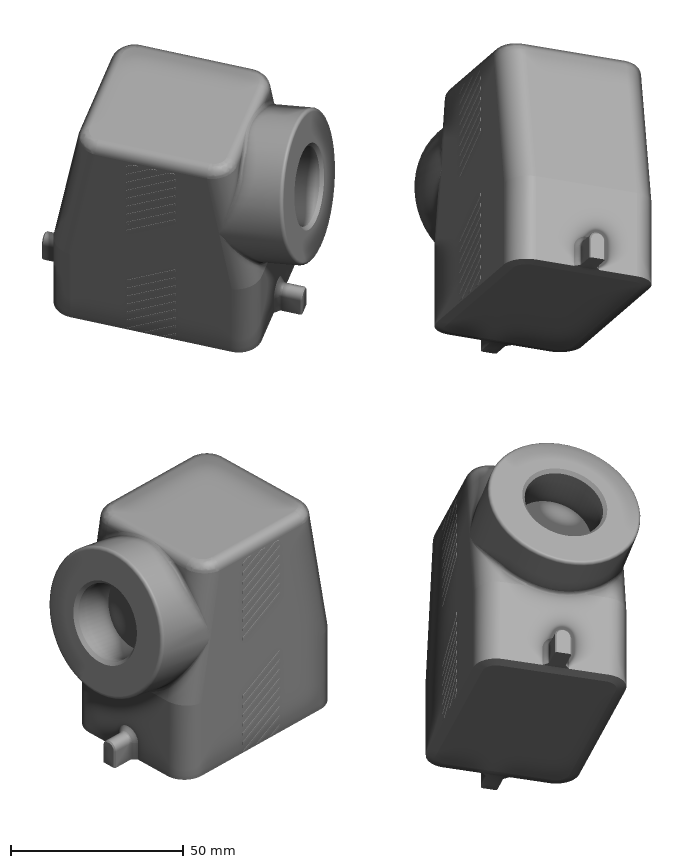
import cadquery as cq
import math

BODY_LENGTH = 62.9
OVERALL_WIDTH = 46.3
BODY_WIDTH = 46.05
BODY_HEIGHT = 72.0
TAPER_START = 26.7
TAPER_ANGLE = 10.0
CORNER_RADIUS = 7.0
TOP_FILLET = 3.2
BASE_BEVEL_HEIGHT = 0.6
BASE_BEVEL_WIDTH = 2.9

ENTRY_DIAMETER = BODY_WIDTH
ENTRY_LENGTH = 13.6
ENTRY_OFFSET = 22.2
ENTRY_ROOT = 16.9
ENTRY_RIM_FILLET = 1.0
ENTRY_BLEND = 1.0
HOLE_DIAMETER = 23.6
HOLE_CHAMFER = 1.0

PEG_SPAN = 79.0
PEG_WIDTH = 5.0
PEG_AXIS_HEIGHT = 6.3
PEG_END_CHAMFER = 0.4
PEG_FLARE = 1.5
PEG_FLARE_ANGLE = 45.0
PEG_FOOT_FILLET = 0.9

EDGE_TOLERANCE = 0.01
EDGE_SAMPLES = (0, 0.3, 0.7, 1)

STRIPE_ANGLE = 30.0
STRIPE_THICKNESS = 0.85
STRIPES_PER_GROUP = 9
GROUP_HEIGHT = 26.0
STRIPE_ROOT = 0.4
BAND_WIDTH = 15.1
BAND_BOTTOM = 1.2
BAND_TOP = 68.0
UPPER_GROUP_START = 44.8
LOWER_GROUP_START = -1.5

taper_tan = math.tan(math.radians(TAPER_ANGLE))


def tapered_prism():
    """Trapezoidal prism with both ends leaning inward, wider than the body below the taper start."""
    base_half = BODY_LENGTH / 2 + TAPER_START * taper_tan
    top_half = base_half - BODY_HEIGHT * taper_tan
    outline = [(-base_half, 0), (base_half, 0), (top_half, BODY_HEIGHT), (-top_half, BODY_HEIGHT)]
    prism = cq.Workplane("XZ").polyline(outline).close().extrude(BODY_WIDTH / 2, both=True)
    return prism.edges("not(#Z or |Y)").fillet(CORNER_RADIUS)


def hood_body():
    """Straight rounded block below, leaning end walls above."""
    block = (
        cq.Workplane("XY")
        .rect(BODY_LENGTH, BODY_WIDTH)
        .extrude(BODY_HEIGHT)
        .edges("|Z")
        .fillet(CORNER_RADIUS)
    )
    body = block.intersect(tapered_prism())
    body = body.faces(">Z").edges().fillet(TOP_FILLET)
    return body.faces("<Z").edges().chamfer(BASE_BEVEL_HEIGHT, BASE_BEVEL_WIDTH)


def entry_plane():
    """Plane on the leaning +X wall, centred on the cable entry and facing outward along it."""
    lean = math.radians(TAPER_ANGLE)
    origin = (
        BODY_LENGTH / 2 - ENTRY_OFFSET * math.sin(lean),
        0,
        TAPER_START + ENTRY_OFFSET * math.cos(lean),
    )
    return cq.Plane(origin=origin, xDir=(0, 1, 0), normal=(math.cos(lean), 0, math.sin(lean)))


def cable_entry():
    """Tilted cylinder rooted inside the hood, with a rounded outer rim."""
    return (
        cq.Workplane(entry_plane())
        .workplane(offset=-ENTRY_ROOT)
        .circle(ENTRY_DIAMETER / 2)
        .extrude(ENTRY_ROOT + ENTRY_LENGTH)
        .faces(">X")
        .edges()
        .fillet(ENTRY_RIM_FILLET)
    )


def entry_hole():
    """Blind hole from the mouth to the depth of the end wall, chamfered at the mouth."""
    radius = HOLE_DIAMETER / 2
    bore = cq.Workplane(entry_plane()).circle(radius).extrude(ENTRY_LENGTH)
    cone = cq.Solid.makeCone(radius, radius + HOLE_CHAMFER, HOLE_CHAMFER)
    cone_start = cq.Location(cq.Vector(0, 0, ENTRY_LENGTH - HOLE_CHAMFER))
    mouth = cone.moved(cq.Location(entry_plane()) * cone_start)
    return bore.union(cq.Workplane(mouth))


def blend_entry(part):
    """Round the seam where the entry cylinder leaves the hood."""
    plane = entry_plane()

    def on_seam(edge):
        """Edges lying on the entry cylinder and away from its mouth."""
        for position in EDGE_SAMPLES:
            point = plane.toLocalCoords(edge.positionAt(position))
            off_cylinder = abs(math.hypot(point.x, point.y) - ENTRY_DIAMETER / 2)
            if off_cylinder > EDGE_TOLERANCE or point.z > ENTRY_LENGTH / 2:
                return False
        return True

    return part.edges().filter(on_seam).fillet(ENTRY_BLEND)


def arch(half_width, bottom, x):
    """Round-topped upright outline facing +X."""
    return (
        cq.Workplane("YZ", origin=(x, 0, 0))
        .moveTo(-half_width, bottom)
        .lineTo(half_width, bottom)
        .lineTo(half_width, PEG_AXIS_HEIGHT)
        .threePointArc((0, PEG_AXIS_HEIGHT + half_width), (-half_width, PEG_AXIS_HEIGHT))
        .close()
    )


def locking_peg():
    """Peg on the +X end with a flared foot, both ending flat at the top of the base bevel."""
    wall = BODY_LENGTH / 2
    half_width = PEG_WIDTH / 2
    bottom = BASE_BEVEL_HEIGHT - PEG_FLARE
    shank = arch(half_width, bottom, 0).extrude(PEG_SPAN / 2)
    shank = shank.faces(">X").edges().chamfer(PEG_END_CHAMFER)
    foot = arch(half_width + PEG_FLARE, bottom - PEG_FLARE, wall).extrude(PEG_FLARE, taper=PEG_FLARE_ANGLE)
    peg = shank.union(foot)

    def on_foot_rim(edge):
        """Edges where the flare meets the shank, without the bottom one that is cut away."""
        heights = (edge.startPoint().z, edge.endPoint().z)
        flat = edge.BoundingBox().xlen < EDGE_TOLERANCE
        at_rim = abs(edge.Center().x - wall - PEG_FLARE) < EDGE_TOLERANCE
        return flat and at_rim and max(heights) > bottom + EDGE_TOLERANCE

    peg = peg.edges().filter(on_foot_rim).fillet(PEG_FOOT_FILLET)
    below = (
        cq.Workplane("XY", origin=(0, 0, BASE_BEVEL_HEIGHT))
        .rect(2 * PEG_SPAN, BODY_WIDTH)
        .extrude(-BODY_HEIGHT)
    )
    return peg.cut(below)


def stripe_group(lowest_height):
    """Parallel slanted ribs crossing the band, from the middle of the hood to the -Y side."""
    slant = math.radians(STRIPE_ANGLE)
    half_band = BAND_WIDTH / 2
    half_rise = half_band * math.tan(slant)
    half_thickness = STRIPE_THICKNESS / 2 / math.cos(slant)
    pitch = GROUP_HEIGHT / (STRIPES_PER_GROUP - 1)
    group = cq.Workplane("XZ")
    for i in range(STRIPES_PER_GROUP):
        middle = lowest_height + i * pitch
        left = middle - half_rise
        right = middle + half_rise
        group = group.polyline([
            (-half_band, left - half_thickness),
            (half_band, right - half_thickness),
            (half_band, right + half_thickness),
            (-half_band, left + half_thickness),
        ]).close()
    return group.extrude(OVERALL_WIDTH / 2)


def stripes():
    """Both stripe groups on the -Y face, trimmed level at the ends of the band."""
    band = (
        cq.Workplane("XZ", origin=(0, -BODY_WIDTH / 2 + STRIPE_ROOT, 0))
        .center(0, (BAND_BOTTOM + BAND_TOP) / 2)
        .rect(BAND_WIDTH, BAND_TOP - BAND_BOTTOM)
        .extrude(BODY_WIDTH)
    )
    lower = stripe_group(LOWER_GROUP_START)
    return stripe_group(UPPER_GROUP_START).union(lower).intersect(band)


result = blend_entry(hood_body().union(cable_entry()))
result = result.cut(entry_hole())

peg = locking_peg()
result = result.union(peg).union(peg.mirror("YZ"))

ribs = stripes()
result = result.union(ribs).union(ribs.rotate((0, 0, 0), (0, 0, 1), 180))